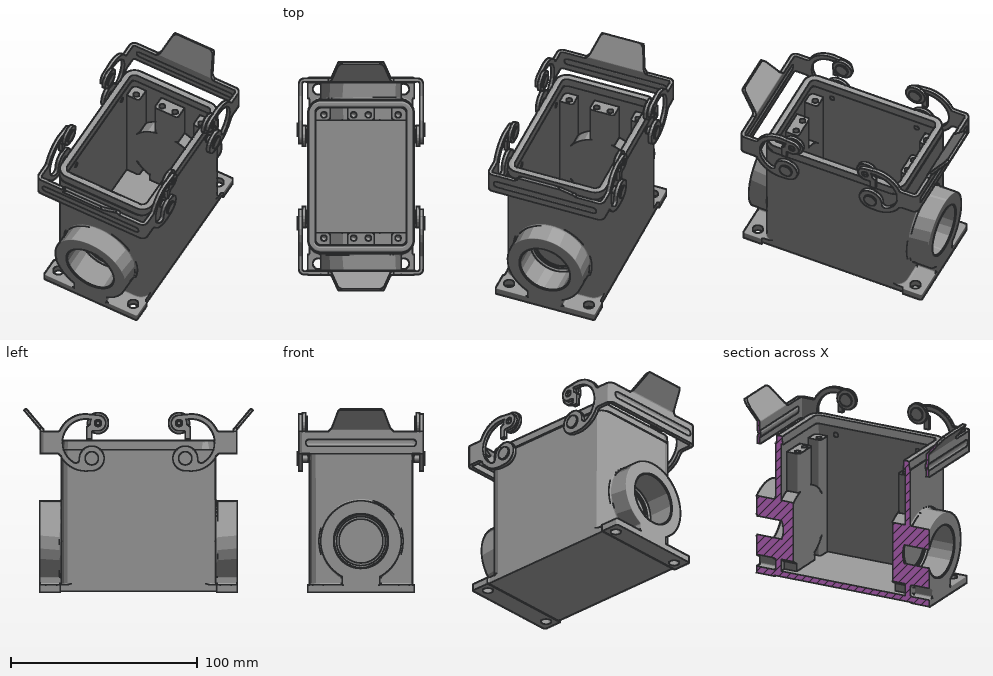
import cadquery as cq
import math


ENDS = (1, -1)

WALL_HALF_X = 27.6
WALL_HALF_Y = 41.4
WALL_CORNER_R = 6.1
FLOOR_Z = 3.9
CAVITY_HALF_X = 24.2
CAVITY_HALF_Y = 37.8
CAVITY_CORNER_R = 2.6
FOOT_RECESS = 0.5
WELD_R = 1.0

RIM_BASE_Z = 76.5
RIM_EDGE_Z = 81.2
RIM_HALF_X = 28.5
RIM_HALF_Y = 41.0
RIM_CORNER_R = 6.9
RIM_DRAFT = 5.0
RIM_WIDTH = 3.4
RIM_CROWN = 0.4

FLANGE_HALF_X = 28.6
FLANGE_END_Y = 53.0
FLANGE_ROOT_Y = 41.9
FLANGE_TOP_Z = 4.0
FLANGE_CORNER_R = 1.0
FLANGE_STEP_R = FLANGE_HALF_X - WALL_HALF_X
EDGE_R = 0.4
SCREW_HOLE_X = 23.0
SCREW_HOLE_Y = 46.8
SCREW_HOLE_D = 5.6

PORT_Z = 27.5
PORT_R = 21.6
PORT_INNER_Y = 30.2
PEDESTAL_HALF_X = 10.0
BORE_R = 14.2
BORE_MOUTH_R = 14.7
BORE_DEPTH = 15.3
BORE_SEAT_R = 13.1
BORE_SEAT_DEPTH = 16.5
BORE_RECESS_R = 11.8
BORE_RECESS_DEPTH = 17.3

POST_TOP_Z = 70.2
POST_CORNER_R = 1.4
MIDDLE_POST_HALF_X = 7.1
CORNER_POST_X = 16.6
POST_HOLE_XS = (-19.9, -3.9, 3.9, 19.9)
POST_HOLE_Y = 33.0
POST_HOLE_R = 1.6
POST_HOLE_DEPTH = 12.3

SHEET = 2.0
LEVER_HALF_X = 33.4
PLATE_INNER_X = LEVER_HALF_X - SHEET
LEVER_END_Y = 52.7
BEND_R = 3.1
BAR_BOTTOM_Z = 74.4
BAR_TOP_Z = 86.3
RING_Y = 28.2
RING_Z = (BAR_BOTTOM_Z + BAR_TOP_Z) / 2
RING_OUTER_R = 15.3
RING_INNER_R = 12.5
PIVOT_Y = 25.0
PIVOT_Z = 71.8
LUG_R = 6.6
POCKET_R = 2.0
ARM_TOP_R = 1.2
ARM_BOTTOM_R = 2.5

TIP_Y = 21.7
TIP_Z = 90.7
TIP_R = 4.2
TIP_DIMPLE_R = 1.8
TIP_DIMPLE_FLOOR_R = 1.1
TIP_DIMPLE_DEPTH = 0.6
CAM_R = 5.6
CAM_INNER_X = 29.6
CAM_HEAD_R = 3.5
CAM_HEAD_INNER_X = 28.7
HOOK_OUTER_Y = 27.8
HOOK_INNER_Y = 25.0
HOOK_BOTTOM_Z = 82.1
HOOK_SHOULDER_Z = 88.8
HOOK_CORNER_R = 1.0

PIN_HEAD_R = 3.5
PIN_HEAD_X = 34.3
PIN_COLLAR_R = 2.1
PIN_COLLAR_INNER_X = 28.4
PIN_NECK_R = 1.4

BEAD_Z = 80.2
BEAD_HALF_X = 27.6
BEAD_HALF_HEIGHT = 2.0
BEAD_DEPTH = 0.5

TAB_END_Y = 61.4
TAB_TILT = 40.0
TAB_OUTER_TIP_Z = 97.6
TAB_SHEET = 1.5
TAB_BEND_R = 1.2
TAB_ROOT_HALF_X = 15.7
TAB_TOP_HALF_X = 11.8
TAB_CORNER_R = 3.2
TAB_ROOT_R = 1.8


def box(x0, x1, y0, y1, z0, z1):
    """Block between two opposite corners."""
    return cq.Workplane("XY").box(x1 - x0, y1 - y0, z1 - z0, centered=False).translate((x0, y0, z0))


def rounded_block(half_x, half_y, corner_r, z0, z1):
    """Upright block about the Z axis with rounded vertical edges."""
    return box(-half_x, half_x, -half_y, half_y, z0, z1).edges("|Z").fillet(corner_r)


def rod_x(x0, x1, y, z, r):
    """Cylinder along X."""
    return cq.Workplane("YZ", origin=(x0, 0, 0)).center(y, z).circle(r).extrude(x1 - x0)


def mirrored(body, plane):
    """A body together with its mirror image."""
    return body.union(body.mirror(plane))



def cove(r, length):
    """Concave quarter-round fillet strip along +Z, filling the corner between +X and +Y faces."""
    strip = box(0, r, 0, r, 0, length)
    return strip.cut(cq.Workplane("XY").center(r, r).circle(r).extrude(length))


def foot():
    """Flange at the +Y end, narrowing to the wall width with concave corners."""
    plate = box(-FLANGE_HALF_X, FLANGE_HALF_X, FLANGE_ROOT_Y, FLANGE_END_Y, 0, FLANGE_TOP_Z)
    plate = plate.edges("|Z and >Y").fillet(FLANGE_CORNER_R)
    root_y = WALL_HALF_Y - WALL_CORNER_R
    root = box(-WALL_HALF_X, WALL_HALF_X, root_y, FLANGE_ROOT_Y, FOOT_RECESS, FLANGE_TOP_Z)
    step = cove(FLANGE_STEP_R, FLANGE_TOP_Z - FOOT_RECESS).mirror("XZ")
    step = step.translate((WALL_HALF_X, FLANGE_ROOT_Y, FOOT_RECESS))
    return plate.union(root).union(mirrored(step, "YZ"))


def port(y0, y1):
    """Round port body along Y with a pedestal down to the foot."""
    barrel = cq.Workplane("XZ", origin=(0, y1, 0)).center(0, PORT_Z).circle(PORT_R).extrude(y1 - y0)
    return barrel.union(box(-PEDESTAL_HALF_X, PEDESTAL_HALF_X, y0, y1, FOOT_RECESS, PORT_Z))


def foot_and_port():
    """Foot and port at the +Y end with their exposed edges rounded."""
    body = foot().union(port(WALL_HALF_Y - WALL_CORNER_R, FLANGE_END_Y))
    neck_z = PORT_Z - math.sqrt(PORT_R**2 - PEDESTAL_HALF_X**2)
    for side in ENDS:
        neck = cq.selectors.NearestToPointSelector(
            (side * PEDESTAL_HALF_X, (WALL_HALF_Y + FLANGE_END_Y) / 2, neck_z)
        )
        body = body.edges("|Y").edges(neck).fillet(WELD_R)
    tiny = 0.01
    front_edges = cq.selectors.BoxSelector(
        (-FLANGE_HALF_X, FLANGE_END_Y - tiny, FLANGE_TOP_Z - tiny),
        (FLANGE_HALF_X, FLANGE_END_Y + tiny, PORT_Z + PORT_R + tiny),
        boundingbox=False,
    )
    return body.edges(front_edges).fillet(EDGE_R)


def port_welds():
    """Cast fillets of the +Y port: around the barrel and along both sides of the pedestal."""
    weld_y = WALL_HALF_Y + WELD_R
    outer_r = PORT_R + WELD_R
    ring = (
        cq.Workplane("XY")
        .moveTo(PORT_R - WELD_R, weld_y)
        .lineTo(PORT_R, weld_y)
        .radiusArc((outer_r, WALL_HALF_Y), -WELD_R)
        .lineTo(outer_r, WALL_HALF_Y - WELD_R)
        .lineTo(PORT_R - WELD_R, WALL_HALF_Y - WELD_R)
        .close().revolve(360, (0, 0), (0, 1))
        .translate((0, 0, PORT_Z))
    )
    pedestal_top = PORT_Z - math.sqrt(PORT_R**2 - PEDESTAL_HALF_X**2)
    upright = cove(WELD_R, pedestal_top - FLANGE_TOP_Z)
    upright = upright.translate((PEDESTAL_HALF_X, WALL_HALF_Y, FLANGE_TOP_Z))
    along_foot = cove(WELD_R, FLANGE_END_Y - EDGE_R - WALL_HALF_Y).rotate((0, 0, 0), (1, 0, 0), 90)
    along_foot = along_foot.mirror("XZ").translate((PEDESTAL_HALF_X, WALL_HALF_Y, FLANGE_TOP_Z))
    return ring.union(mirrored(upright.union(along_foot), "YZ"))


def foot_weld():
    """Cast fillet where the wall rises from the foot, cut off at the edge of the foot."""
    path = rounded_block(WALL_HALF_X, WALL_HALF_Y, WALL_CORNER_R, 0, FLANGE_TOP_Z).faces(">Z").wires()
    strip = (
        cq.Workplane("XZ")
        .moveTo(WALL_HALF_X, FLANGE_TOP_Z)
        .lineTo(WALL_HALF_X + WELD_R, FLANGE_TOP_Z)
        .radiusArc((WALL_HALF_X, FLANGE_TOP_Z + WELD_R), WELD_R)
        .close().sweep(path)
    )
    root_y = WALL_HALF_Y - WALL_CORNER_R
    above_foot = box(
        -WALL_HALF_X, WALL_HALF_X, root_y, FLANGE_END_Y, FLANGE_TOP_Z, FLANGE_TOP_Z + WELD_R
    )
    return strip.intersect(above_foot)


def port_bore():
    """Stepped blind bore of the +Y port, as a body of revolution about the port axis."""
    mouth_round = BORE_MOUTH_R - BORE_R
    profile = [
        (0, 0),
        (BORE_MOUTH_R, 0),
        (BORE_R, mouth_round),
        (BORE_R, BORE_DEPTH),
        (BORE_SEAT_R, BORE_SEAT_DEPTH),
        (BORE_RECESS_R, BORE_SEAT_DEPTH),
        (BORE_RECESS_R, BORE_RECESS_DEPTH),
        (0, BORE_RECESS_DEPTH),
    ]
    points = [(r, FLANGE_END_Y - depth) for r, depth in profile]
    return cq.Workplane("XY").polyline(points).close().revolve(360, (0, 0), (0, 1)).translate((0, 0, PORT_Z))


def outer_shell():
    """Solid wall block with both feet and ports, rounded where they meet."""
    wall = rounded_block(WALL_HALF_X, WALL_HALF_Y, WALL_CORNER_R, FOOT_RECESS, RIM_BASE_Z)
    end = foot_and_port().union(port_welds()).union(foot_weld())
    return wall.union(mirrored(end, "XZ"))


def rim():
    """Drafted collar around the opening, with a crowned top edge."""
    height = RIM_EDGE_Z - RIM_BASE_Z
    inset = height * math.tan(math.radians(RIM_DRAFT))
    collar = (
        cq.Workplane("XY", origin=(0, 0, RIM_BASE_Z))
        .sketch().rect(2 * RIM_HALF_X, 2 * RIM_HALF_Y).vertices().fillet(RIM_CORNER_R).finalize()
        .extrude(height, taper=RIM_DRAFT)
    )
    mid_x = RIM_HALF_X - inset - RIM_WIDTH / 2
    mid_y = RIM_HALF_Y - inset - RIM_WIDTH / 2
    mid_r = RIM_CORNER_R - inset - RIM_WIDTH / 2
    path = rounded_block(mid_x, mid_y, mid_r, RIM_BASE_Z, RIM_EDGE_Z).faces(">Z").wires()
    crown = (
        cq.Workplane("XZ")
        .moveTo(mid_x - RIM_WIDTH / 2, RIM_EDGE_Z)
        .threePointArc((mid_x, RIM_EDGE_Z + RIM_CROWN), (mid_x + RIM_WIDTH / 2, RIM_EDGE_Z))
        .close().sweep(path)
    )
    opening = (
        cq.Workplane("XY", origin=(0, 0, RIM_EDGE_Z))
        .sketch().rect(2 * mid_x - RIM_WIDTH, 2 * mid_y - RIM_WIDTH)
        .vertices().fillet(mid_r - RIM_WIDTH / 2).finalize()
        .extrude(-height, taper=RIM_DRAFT)
    )
    return collar.cut(opening).union(crown)


def posts():
    """Insert posts at the +Y end: two in the corners and a wider one in the middle."""
    middle = box(-MIDDLE_POST_HALF_X, MIDDLE_POST_HALF_X, PORT_INNER_Y, CAVITY_HALF_Y, FLOOR_Z, POST_TOP_Z)
    middle = middle.edges("|Z and <Y").fillet(POST_CORNER_R)
    corner = box(CORNER_POST_X, CAVITY_HALF_X, PORT_INNER_Y, CAVITY_HALF_Y, FLOOR_Z, POST_TOP_Z)
    corner = corner.edges("|Z and <Y and <X").fillet(POST_CORNER_R)
    return middle.union(mirrored(corner, "YZ"))


def post_holes():
    """Blind drilled holes in the posts at the +Y end."""
    profile = [
        (0, 0),
        (POST_HOLE_R, 0),
        (POST_HOLE_R, -POST_HOLE_DEPTH),
        (0, -POST_HOLE_DEPTH - POST_HOLE_R),
    ]
    drill = cq.Workplane("XZ").polyline(profile).close().revolve(360, (0, 0), (0, 1))
    holes = cq.Workplane("XY")
    for x in POST_HOLE_XS:
        holes = holes.union(drill.translate((x, POST_HOLE_Y, POST_TOP_Z)))
    return holes


def make_housing():
    body = outer_shell().union(rim())
    cavity = rounded_block(CAVITY_HALF_X, CAVITY_HALF_Y, CAVITY_CORNER_R, FLOOR_Z, RIM_BASE_Z)
    port_inside = port(PORT_INNER_Y, CAVITY_HALF_Y)
    inside = mirrored(port_inside.union(posts()), "XZ").intersect(cavity)
    body = body.cut(cavity).union(inside)
    body = body.cut(mirrored(port_bore().union(post_holes()), "XZ"))
    for end in ENDS:
        for side in ENDS:
            body = body.cut(
                cq.Workplane("XY").center(side * SCREW_HOLE_X, end * SCREW_HOLE_Y)
                .circle(SCREW_HOLE_D / 2).extrude(FLANGE_TOP_Z)
            )
        body = body.cut(rod_x(-WALL_HALF_X, WALL_HALF_X, end * PIVOT_Y, PIVOT_Z, PIN_NECK_R))
    return body



def plate_block(points):
    """Side-plate piece with a polygonal outline given as (Y, Z) points."""
    return cq.Workplane("YZ", origin=(PLATE_INNER_X, 0, 0)).polyline(points).close().extrude(SHEET)


def plate_disc(y, z, r):
    """Round side-plate piece."""
    return rod_x(PLATE_INNER_X, LEVER_HALF_X, y, z, r)


def near(y, z):
    """Selector for the plate edge along X closest to a (Y, Z) point."""
    return cq.selectors.NearestToPointSelector((LEVER_HALF_X - SHEET / 2, y, z))


def plate_ring():
    """Open ring of the +X side plate, from the bar around to the pivot lug."""
    far_y = LEVER_END_Y - BEND_R
    arm = box(PLATE_INNER_X, LEVER_HALF_X, RING_Y + RING_INNER_R, far_y, BAR_BOTTOM_Z, BAR_TOP_Z)
    ring = plate_disc(RING_Y, RING_Z, RING_OUTER_R).union(arm)
    arm_root_y = RING_Y + math.sqrt(RING_OUTER_R**2 - (BAR_TOP_Z - RING_Z) ** 2)
    ring = ring.edges("|X").edges(near(arm_root_y, BAR_TOP_Z)).fillet(ARM_TOP_R)
    ring = ring.edges("|X").edges(near(arm_root_y, BAR_BOTTOM_Z)).fillet(ARM_BOTTOM_R)
    ring = ring.cut(plate_disc(RING_Y, RING_Z, RING_INNER_R))
    open_side = box(PLATE_INNER_X, LEVER_HALF_X, 0, RING_Y, RING_Z - RING_OUTER_R, RING_Z + RING_OUTER_R)
    ring = ring.cut(open_side)
    web = plate_block([
        (PIVOT_Y, PIVOT_Z - LUG_R),
        (RING_Y, RING_Z - RING_OUTER_R),
        (RING_Y, PIVOT_Z),
        (PIVOT_Y, PIVOT_Z),
    ])
    ring = ring.union(plate_disc(PIVOT_Y, PIVOT_Z, LUG_R)).union(web)
    gap_y = PIVOT_Y - RING_Y
    gap_z = PIVOT_Z - RING_Z
    gap = math.hypot(gap_y, gap_z)
    along = (RING_INNER_R**2 - LUG_R**2 + gap**2) / (2 * gap)
    across = math.sqrt(RING_INNER_R**2 - along**2)
    corner_y = RING_Y + (along * gap_y - across * gap_z) / gap
    corner_z = RING_Z + (along * gap_z + across * gap_y) / gap
    return ring.edges("|X").edges(near(corner_y, corner_z)).fillet(POCKET_R)


def plate_tip():
    """Free end of the +X side plate: rounded nose, hook and the cam on its inner face."""
    bridge = plate_block([
        (RING_Y, RING_Z + RING_INNER_R),
        (RING_Y, RING_Z + RING_OUTER_R),
        (TIP_Y, TIP_Z + TIP_R),
        (TIP_Y, TIP_Z),
        (HOOK_INNER_Y, RING_Z + RING_INNER_R),
    ])
    hook = plate_block([
        (HOOK_OUTER_Y, HOOK_BOTTOM_Z),
        (HOOK_OUTER_Y, HOOK_SHOULDER_Z),
        (HOOK_INNER_Y, TIP_Z),
        (TIP_Y, TIP_Z),
        (TIP_Y, TIP_Z - TIP_R),
        (HOOK_INNER_Y, TIP_Z - TIP_R),
        (HOOK_INNER_Y, HOOK_BOTTOM_Z),
    ])
    hook = hook.edges("|X").edges(near(HOOK_INNER_Y, TIP_Z - TIP_R)).fillet(HOOK_CORNER_R)
    tip = plate_disc(TIP_Y, TIP_Z, TIP_R).union(bridge).union(hook)
    dimple = (
        cq.Workplane("YZ", origin=(LEVER_HALF_X, 0, 0)).center(TIP_Y, TIP_Z).circle(TIP_DIMPLE_R)
        .workplane(offset=-TIP_DIMPLE_DEPTH).circle(TIP_DIMPLE_FLOOR_R).loft()
    )
    cam = rod_x(CAM_INNER_X, PLATE_INNER_X, TIP_Y, TIP_Z, CAM_R)
    cam_head = rod_x(CAM_HEAD_INNER_X, CAM_INNER_X, TIP_Y, TIP_Z, CAM_HEAD_R)
    return tip.cut(dimple).union(cam).union(cam_head)


def pivot_pin():
    """Headed pivot pin of the +X side plate; its neck fills the hole in the housing wall."""
    head = rod_x(PLATE_INNER_X, PIN_HEAD_X, PIVOT_Y, PIVOT_Z, PIN_HEAD_R)
    collar = rod_x(PIN_COLLAR_INNER_X, PLATE_INNER_X, PIVOT_Y, PIVOT_Z, PIN_COLLAR_R)
    neck = rod_x(CAVITY_HALF_X, PIN_COLLAR_INNER_X, PIVOT_Y, PIVOT_Z, PIN_NECK_R)
    return head.union(collar).union(neck)


def bar():
    """Cross bar bent into the side plates at both ends."""
    start_y = LEVER_END_Y - BEND_R
    inner_y = LEVER_END_Y - SHEET
    outer = box(-LEVER_HALF_X, LEVER_HALF_X, start_y, LEVER_END_Y, BAR_BOTTOM_Z, BAR_TOP_Z)
    outer = outer.edges("|Z and >Y").fillet(BEND_R - 0.01)
    inner = box(-PLATE_INNER_X, PLATE_INNER_X, start_y, inner_y, BAR_BOTTOM_Z, BAR_TOP_Z)
    inner = inner.edges("|Z and >Y").fillet(BEND_R - SHEET - 0.01)
    return outer.cut(inner)


def bead_form(face_y):
    """Round-ended form that reaches one bead depth inward past the plane Y = face_y."""
    r = (BEAD_HALF_HEIGHT**2 + BEAD_DEPTH**2) / (2 * BEAD_DEPTH)
    center_y = face_y - BEAD_DEPTH + r
    form = rod_x(-BEAD_HALF_X, BEAD_HALF_X, center_y, BEAD_Z, r)
    for side in ENDS:
        form = form.union(cq.Workplane("XY").sphere(r).translate((side * BEAD_HALF_X, center_y, BEAD_Z)))
    return form


def beaded_bar():
    """Cross bar stiffened by a bead pressed inward."""
    inner_y = LEVER_END_Y - SHEET
    slab = box(
        -LEVER_HALF_X, LEVER_HALF_X, inner_y - BEAD_DEPTH, inner_y + SHEET / 2, BAR_BOTTOM_Z, BAR_TOP_Z
    )
    bulge = bead_form(inner_y).intersect(slab)
    return bar().union(bulge).cut(bead_form(LEVER_END_Y))


def finger_tab():
    """Tapered grip tab bent outward from the top of the cross bar."""
    tilt = math.radians(TAB_TILT)
    inner_y = LEVER_END_Y - SHEET
    inner_tip_y = TAB_END_Y - TAB_SHEET * math.cos(tilt)
    inner_tip_z = TAB_OUTER_TIP_Z + TAB_SHEET * math.sin(tilt)
    outer_bend_z = TAB_OUTER_TIP_Z - (TAB_END_Y - LEVER_END_Y) / math.tan(tilt)
    inner_bend_z = inner_tip_z - (inner_tip_y - inner_y) / math.tan(tilt)
    sheet = (
        cq.Workplane("YZ", origin=(-LEVER_HALF_X, 0, 0))
        .polyline([
            (inner_y, BAR_TOP_Z),
            (LEVER_END_Y, BAR_TOP_Z),
            (LEVER_END_Y, outer_bend_z),
            (TAB_END_Y, TAB_OUTER_TIP_Z),
            (inner_tip_y, inner_tip_z),
            (inner_y, inner_bend_z),
        ])
        .close().extrude(2 * LEVER_HALF_X)
    )
    for bend_y, bend_z in ((inner_y, inner_bend_z), (LEVER_END_Y, outer_bend_z)):
        bend = cq.selectors.NearestToPointSelector((0, bend_y, bend_z))
        sheet = sheet.edges("|X").edges(bend).fillet(TAB_BEND_R)
    flare_x = TAB_ROOT_HALF_X + TAB_ROOT_R
    outline = (
        cq.Workplane("XZ", origin=(0, TAB_END_Y, 0))
        .moveTo(-flare_x, BAR_TOP_Z)
        .lineTo(flare_x, BAR_TOP_Z)
        .lineTo(TAB_ROOT_HALF_X, BAR_TOP_Z + TAB_ROOT_R)
        .lineTo(TAB_TOP_HALF_X, inner_tip_z)
        .lineTo(-TAB_TOP_HALF_X, inner_tip_z)
        .lineTo(-TAB_ROOT_HALF_X, BAR_TOP_Z + TAB_ROOT_R)
        .close().extrude(TAB_END_Y - inner_y)
        .edges("|Y and >Z").fillet(TAB_CORNER_R)
    )
    return sheet.intersect(outline)


def make_lever():
    """Locking lever at the +Y end."""
    side = plate_ring().union(plate_tip()).union(pivot_pin())
    return beaded_bar().union(finger_tab()).union(mirrored(side, "YZ"))


housing = make_housing()
lever = make_lever()
levers = [lever.rotate((0, 0, 0), (0, 0, 1), angle) for angle in (0, 180)]

result = cq.Compound.makeCompound([housing.val()] + [body.val() for body in levers])